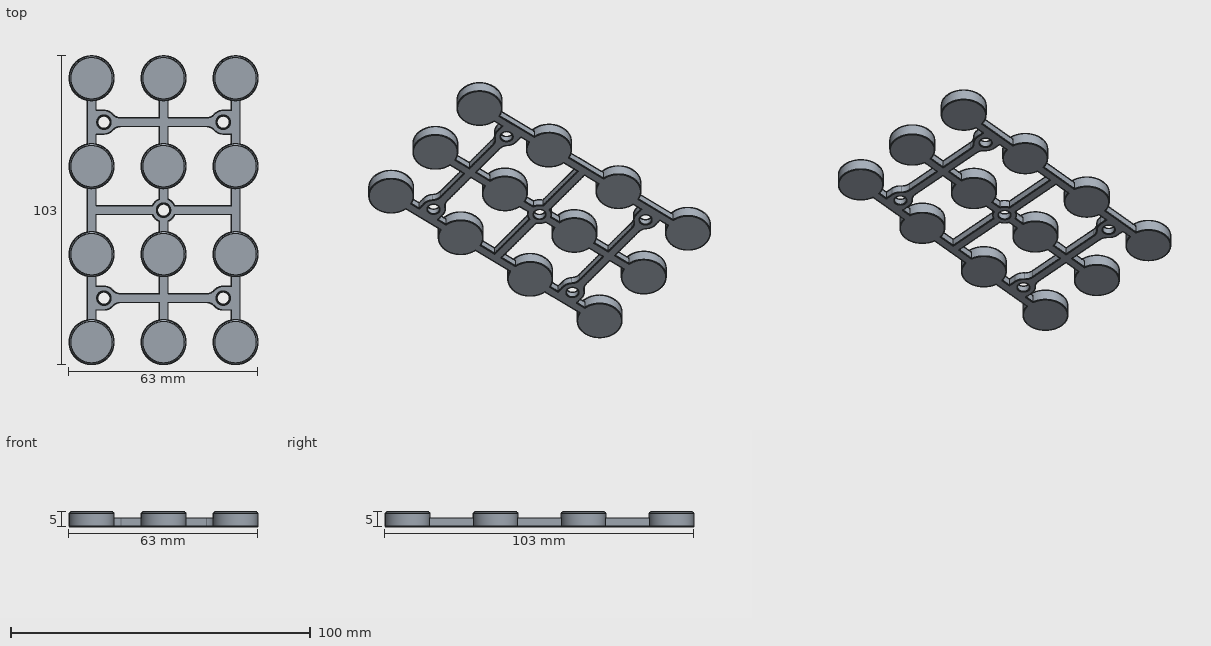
import cadquery as cq
import math

LENGTH = 103.0
WIDTH = 63.0
CAP_HEIGHT = 5.0

COLUMNS = 3
ROWS = 4
CAP_DIAMETER = 15.0
CAP_CHAMFER = 0.6
COLUMN_PITCH = (WIDTH - CAP_DIAMETER) / (COLUMNS - 1)
ROW_PITCH = (LENGTH - CAP_DIAMETER) / (ROWS - 1)
GRID_WIDTH = COLUMN_PITCH * (COLUMNS - 1)
GRID_LENGTH = ROW_PITCH * (ROWS - 1)

BAR_WIDTH = 3.0
FRAME_HEIGHT = 3.0

BASE_CHAMFER = 0.2

EYE_DIAMETER = 8.0
EYE_BLEND_RADIUS = 3.5
EYE_INSET = 4.1
HOLE_DIAMETER = 4.0
HOLE_CHAMFER = 0.4
COUNTERSINK_ANGLE = 90

EYE_X = GRID_WIDTH / 2 - EYE_INSET
EYE_CENTRES = [(0, 0)] + [(x, y) for x in (-EYE_X, EYE_X) for y in (-ROW_PITCH, ROW_PITCH)]


def cap(x, y):
    """Round cap with a chamfered top rim."""
    body = cq.Workplane("XY").center(x, y).circle(CAP_DIAMETER / 2).extrude(CAP_HEIGHT)
    return body.faces(">Z").chamfer(CAP_CHAMFER)


def bar(x, y, size_x, size_y):
    """Straight frame bar centred on (x, y)."""
    return cq.Workplane("XY").center(x, y).rect(size_x, size_y).extrude(FRAME_HEIGHT)


def side_eye(side, y):
    """Eye that runs straight into its outer column and blends into the cross bar on the inner side."""
    eye_radius = EYE_DIAMETER / 2
    half_bar = BAR_WIDTH / 2
    blend_y = half_bar + EYE_BLEND_RADIUS
    centre_distance = eye_radius + EYE_BLEND_RADIUS
    blend_x = math.sqrt(centre_distance**2 - blend_y**2)
    tangent_x = blend_x * eye_radius / centre_distance
    tangent_y = blend_y * eye_radius / centre_distance
    mid_angle = (-math.pi / 2 + math.atan2(-blend_y, -blend_x)) / 2
    mid_x = blend_x + EYE_BLEND_RADIUS * math.cos(mid_angle)
    mid_y = blend_y + EYE_BLEND_RADIUS * math.sin(mid_angle)

    eye = (
        cq.Workplane("XY")
        .moveTo(-EYE_INSET, -eye_radius)
        .lineTo(0, -eye_radius)
        .radiusArc((tangent_x, -tangent_y), -eye_radius)
        .threePointArc((mid_x, -mid_y), (blend_x, -half_bar))
        .lineTo(blend_x, half_bar)
        .threePointArc((mid_x, mid_y), (tangent_x, tangent_y))
        .radiusArc((0, eye_radius), -eye_radius)
        .lineTo(-EYE_INSET, eye_radius)
        .close()
        .extrude(FRAME_HEIGHT)
    )
    if side > 0:
        eye = eye.mirror("YZ")
    return eye.translate((side * EYE_X, y, 0))


column_positions = [i * COLUMN_PITCH - GRID_WIDTH / 2 for i in range(COLUMNS)]
row_positions = [i * ROW_PITCH - GRID_LENGTH / 2 for i in range(ROWS)]

result = bar(0, 0, GRID_WIDTH, BAR_WIDTH)
for y in (-ROW_PITCH, ROW_PITCH):
    result = result.union(bar(0, y, GRID_WIDTH, BAR_WIDTH))
for x in column_positions:
    result = result.union(bar(x, 0, BAR_WIDTH, GRID_LENGTH))

result = result.union(cq.Workplane("XY").circle(EYE_DIAMETER / 2).extrude(FRAME_HEIGHT))
for side in (-1, 1):
    for y in (-ROW_PITCH, ROW_PITCH):
        result = result.union(side_eye(side, y))

for x in column_positions:
    for y in row_positions:
        result = result.union(cap(x, y))

result = (
    result.copyWorkplane(cq.Workplane("XY", origin=(0, 0, FRAME_HEIGHT)))
    .pushPoints(EYE_CENTRES)
    .cskHole(HOLE_DIAMETER, HOLE_DIAMETER + 2 * HOLE_CHAMFER, COUNTERSINK_ANGLE)
)

result = result.faces("<Z").chamfer(BASE_CHAMFER)